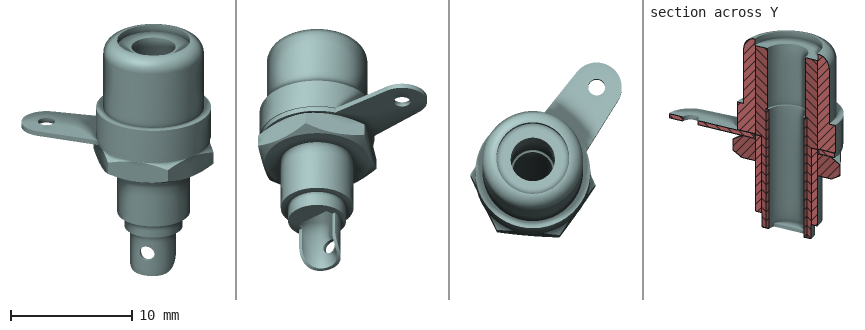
import cadquery as cq
import math


overall_height = 20.5

cap_dia = 8.3
cap_top = 8.59
cap_round = 1.15
collar_dia = 9.5
collar_height = 2.55
sleeve_dia = 6.0
sleeve_bottom = -6.93
mouth_dia = sleeve_dia
mouth_depth = 0.6

insulator_head_dia = 5.9
insulator_shank_dia = 4.8
insulator_entry_dia = 3.65
insulator_top = cap_top - mouth_depth
insulator_bottom = -8.22

contact_dia = 3.9
contact_bore_dia = 3.3
contact_top = collar_height
tail_tip = cap_top - overall_height
tail_hole_dia = 1.25
tail_hole_z = -9.9
end_wall_thickness = 0.3
end_wall_edge_y = 0.62

lug_thickness = 0.4
lug_ring_dia = 9.35
lug_bore_dia = 6.25
tag_end_radius = 2.07
tag_hole_dia = 1.4
tag_hole_x = -9.22
tag_root_x = -3.7
tag_root_half_width = 2.4

nut_flats = 8.95
nut_corner_dia = nut_flats / math.cos(math.radians(30))
nut_face_dia = 8.65
nut_height = 1.99
nut_chamfer_angle = 30
nut_top = -lug_thickness
nut_bottom = nut_top - nut_height


def cylinder(diameter, bottom, top):
    """Upright cylinder on the Z axis between two heights."""
    return cq.Workplane("XY").workplane(offset=bottom).circle(diameter / 2).extrude(top - bottom)


def make_housing():
    cap = cylinder(cap_dia, 0, cap_top).faces(">Z").edges().fillet(cap_round)
    collar = cylinder(collar_dia, 0, collar_height)
    sleeve = cylinder(sleeve_dia, sleeve_bottom, 0)
    mouth = cylinder(mouth_dia, insulator_top, cap_top)
    head_seat = cylinder(insulator_head_dia, 0, insulator_top)
    shank_hole = cylinder(insulator_shank_dia, sleeve_bottom, 0)
    return cap.union(collar).union(sleeve).cut(mouth).cut(head_seat).cut(shank_hole)


def make_insulator():
    head = cylinder(insulator_head_dia, 0, insulator_top)
    shank = cylinder(insulator_shank_dia, insulator_bottom, 0)
    entry = cylinder(insulator_entry_dia, contact_top, insulator_top)
    contact_seat = cylinder(contact_dia, insulator_bottom, contact_top)
    return head.union(shank).cut(entry).cut(contact_seat)


def make_contact():
    tube = cylinder(contact_dia, tail_tip, contact_top)
    tube = tube.cut(cylinder(contact_bore_dia, tail_tip, contact_top))

    radius = contact_dia / 2
    tail_envelope = (
        cq.Workplane("YZ")
        .moveTo(-radius, tail_tip)
        .radiusArc((0, tail_tip + radius), -radius)
        .lineTo(0, insulator_bottom)
        .lineTo(-radius, insulator_bottom)
        .close()
        .extrude(radius, both=True)
    )
    barrel_envelope = cylinder(contact_dia, insulator_bottom, contact_top)
    contact = tube.intersect(tail_envelope.union(barrel_envelope))

    end_wall_depth = radius - end_wall_edge_y
    end_wall = cylinder(contact_dia, insulator_bottom, insulator_bottom + end_wall_thickness).intersect(
        cq.Workplane("XY")
        .workplane(offset=insulator_bottom)
        .center(0, end_wall_edge_y + end_wall_depth / 2)
        .rect(contact_dia, end_wall_depth)
        .extrude(end_wall_thickness)
    )

    tail_hole = (
        cq.Workplane("XZ")
        .center(0, tail_hole_z)
        .circle(tail_hole_dia / 2)
        .extrude(contact_dia)
    )
    return contact.union(end_wall).cut(tail_hole)


def make_lug():
    ring = cylinder(lug_ring_dia, -lug_thickness, 0)

    run = tag_root_x - tag_hole_x
    root_distance = math.hypot(run, tag_root_half_width)
    tangent_angle = math.atan2(tag_root_half_width, run) + math.acos(tag_end_radius / root_distance)
    tangent_x = tag_hole_x + tag_end_radius * math.cos(tangent_angle)
    tangent_y = tag_end_radius * math.sin(tangent_angle)
    tag = (
        cq.Workplane("XY")
        .workplane(offset=-lug_thickness)
        .moveTo(tag_root_x, tag_root_half_width)
        .lineTo(tangent_x, tangent_y)
        .threePointArc((tag_hole_x - tag_end_radius, 0), (tangent_x, -tangent_y))
        .lineTo(tag_root_x, -tag_root_half_width)
        .close()
        .extrude(lug_thickness)
    )
    bore = cylinder(lug_bore_dia, -lug_thickness, 0)
    tag_hole = cylinder(tag_hole_dia, -lug_thickness, 0).translate((tag_hole_x, 0, 0))
    return ring.union(tag).cut(bore).cut(tag_hole)


def make_nut():
    hexagon = (
        cq.Workplane("XY")
        .workplane(offset=nut_bottom)
        .polygon(6, nut_corner_dia)
        .extrude(nut_height)
    )
    face_radius = nut_face_dia / 2
    corner_radius = nut_corner_dia / 2
    corner_drop = (corner_radius - face_radius) * math.tan(math.radians(nut_chamfer_angle))
    chamfer_envelope = (
        cq.Workplane("XZ")
        .moveTo(0, nut_bottom)
        .lineTo(face_radius, nut_bottom)
        .lineTo(corner_radius, nut_bottom + corner_drop)
        .lineTo(corner_radius, nut_top - corner_drop)
        .lineTo(face_radius, nut_top)
        .lineTo(0, nut_top)
        .close()
        .revolve(360, (0, 0, 0), (0, 1, 0))
    )
    return hexagon.intersect(chamfer_envelope).cut(cylinder(sleeve_dia, nut_bottom, nut_top))


housing = make_housing()
insulator = make_insulator()
contact = make_contact()
lug = make_lug()
nut = make_nut()

result = cq.Compound.makeCompound(
    [housing.val(), insulator.val(), contact.val(), lug.val(), nut.val()]
)